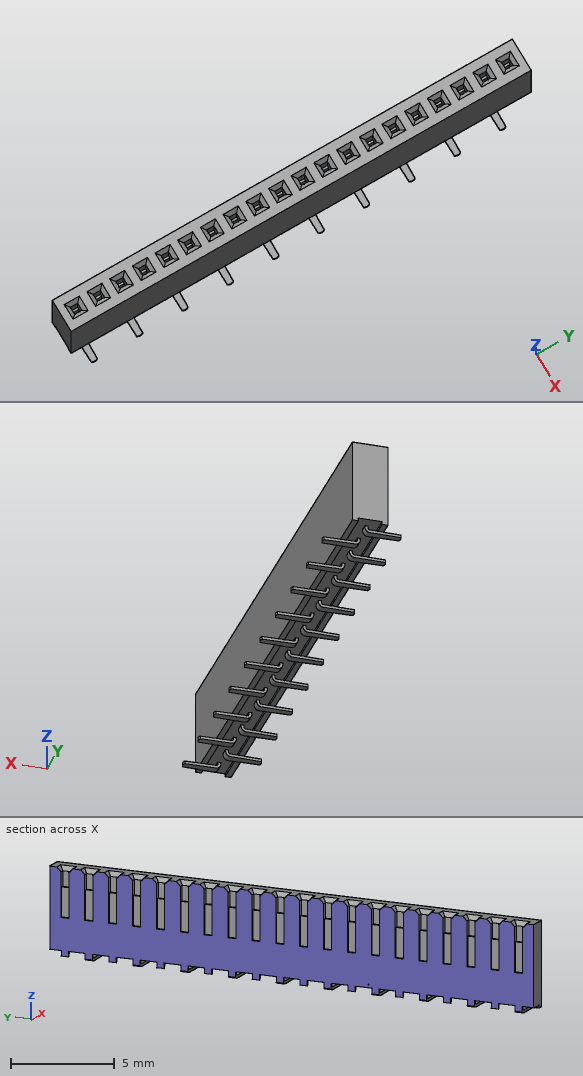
import cadquery as cq


overall_height = 4.53
lead_span = 3.58
pin_count = 20
pitch = 1.27

housing_width = 1.8
housing_length = 25.75
housing_bottom = 0.2
standoff_height = 0.15
standoff_gap = 1.2

mouth_size = 0.84
shaft_size = 0.4
funnel_depth = (mouth_size - shaft_size) / 2
shaft_depth = 2.5
spring_top_depth = 1.0
spring_gap = 0.15

lead_root_width = 0.4
taper_start = 0.4
lead_tip_width = 0.34
lead_thickness = 0.15
inner_bend_radius = 0.1
outer_bend_radius = inner_bend_radius + lead_thickness
tip_bulge = 0.05
post_embed = 0.2

recess_top = housing_bottom + standoff_height
post_top = recess_top + post_embed


def pin_y(index):
    """Y position of a pin, counted from the +Y end."""
    return ((pin_count - 1) / 2 - index) * pitch


def make_housing():
    """Rectangular bar with a shallow groove that leaves a standoff rail along each long side."""
    height = overall_height - housing_bottom
    bar = cq.Workplane("XY").box(housing_width, housing_length, height, centered=(True, True, False))
    groove = cq.Workplane("XY").box(
        standoff_gap, housing_length, standoff_height, centered=(True, True, False)
    )
    return bar.cut(groove).translate((0, 0, housing_bottom))


def make_socket():
    """Cavity of one socket: square funnel and shaft around two springs along the shaft walls."""
    funnel = (
        cq.Workplane("XY")
        .workplane(offset=overall_height - funnel_depth)
        .rect(shaft_size, shaft_size)
        .workplane(offset=funnel_depth)
        .rect(mouth_size, mouth_size)
        .loft(ruled=True)
    )
    shaft = (
        cq.Workplane("XY")
        .workplane(offset=overall_height - spring_top_depth)
        .rect(shaft_size, shaft_size)
        .extrude(spring_top_depth - funnel_depth)
    )
    slot = (
        cq.Workplane("XY")
        .workplane(offset=overall_height - shaft_depth)
        .rect(spring_gap, shaft_size)
        .extrude(shaft_depth - spring_top_depth)
    )
    return funnel.union(shaft).union(slot)


def make_lead():
    """Contact with a central post bent into a flat lead toward -X, tapering to a rounded tip."""
    post_right = lead_thickness / 2
    post_left = -post_right
    lead_end = -lead_span / 2
    side_profile = (
        cq.Workplane("XZ")
        .moveTo(lead_end, 0)
        .lineTo(post_right - outer_bend_radius, 0)
        .radiusArc((post_right, outer_bend_radius), -outer_bend_radius)
        .lineTo(post_right, post_top)
        .lineTo(post_left, post_top)
        .lineTo(post_left, outer_bend_radius)
        .radiusArc((post_left - inner_bend_radius, lead_thickness), inner_bend_radius)
        .lineTo(lead_end, lead_thickness)
        .close()
        .extrude(lead_root_width / 2, both=True)
    )
    taper_x = -taper_start
    shoulder_x = lead_end + tip_bulge
    plan_outline = (
        cq.Workplane("XY")
        .moveTo(post_right, lead_root_width / 2)
        .lineTo(taper_x, lead_root_width / 2)
        .lineTo(shoulder_x, lead_tip_width / 2)
        .threePointArc((lead_end, 0), (shoulder_x, -lead_tip_width / 2))
        .lineTo(taper_x, -lead_root_width / 2)
        .lineTo(post_right, -lead_root_width / 2)
        .close()
        .extrude(post_top)
    )
    return side_profile.intersect(plan_outline)


left_lead = make_lead()
right_lead = left_lead.rotate((0, 0, 0), (0, 0, 1), 180)
socket = make_socket()

result = make_housing()
for index in range(pin_count):
    lead = left_lead if index % 2 == 0 else right_lead
    position = (0, pin_y(index), 0)
    result = result.cut(socket.translate(position))
    result = result.union(lead.translate(position))